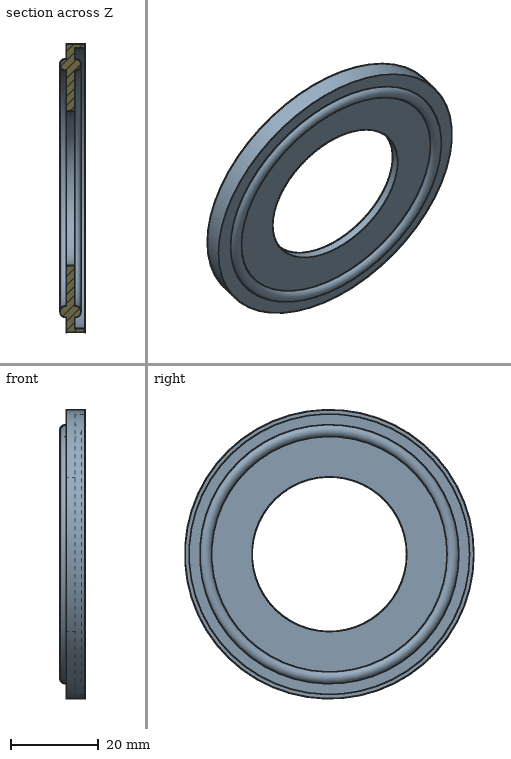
import cadquery as cq

outer_radius = 33.0
bore_radius = 17.6
total_thickness = 5.8
web_thickness = 2.0
lip_width = 1.0
bead_height = 1.45
bead_width = 2.7
bead_outer_radius = 29.6

bead_inner_radius = bead_outer_radius - bead_width
bead_middle_radius = bead_outer_radius - bead_width / 2
bead_flank = bead_height - bead_width / 2
lip_inner_radius = outer_radius - lip_width

lip_x = total_thickness / 2
front_crest_x = -total_thickness / 2
web_front_x = front_crest_x + bead_height
web_back_x = web_front_x + web_thickness


def add_bead(profile, face_x, outward, start_radius, end_radius):
    """Draw a half-round bead on a web face; outward is the sign of X it points to."""
    flank_x = face_x + outward * bead_flank
    crest_x = face_x + outward * bead_height
    return (
        profile.lineTo(face_x, start_radius)
        .lineTo(flank_x, start_radius)
        .threePointArc((crest_x, bead_middle_radius), (flank_x, end_radius))
        .lineTo(face_x, end_radius)
    )


section = cq.Workplane("XY").moveTo(web_back_x, bore_radius)
section = add_bead(section, web_back_x, 1, bead_inner_radius, bead_outer_radius)
section = (
    section.lineTo(web_back_x, lip_inner_radius)
    .lineTo(lip_x, lip_inner_radius)
    .lineTo(lip_x, outer_radius)
    .lineTo(web_front_x, outer_radius)
)
section = add_bead(section, web_front_x, -1, bead_outer_radius, bead_inner_radius)
section = section.lineTo(web_front_x, bore_radius).close()

result = section.revolve(360, (0, 0, 0), (1, 0, 0))